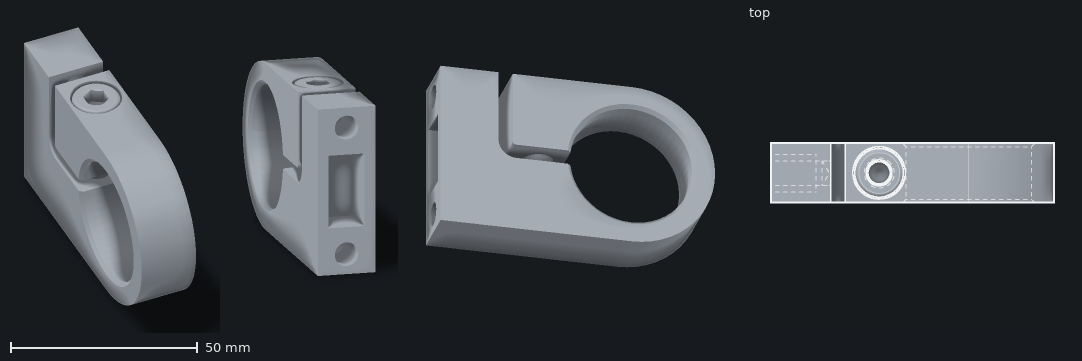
import cadquery as cq
import math

length = 75.85
depth = 16.0
height = 46.0
end_radius = height / 2
bore_x = length - end_radius
top_z = height / 2
front_y = -depth / 2

bore_radius = 16.85
bore_chamfer = 1.0

slot_x = 16.0
slot_width = 3.95
inner_corner_radius = 1.0
outer_corner_radius = inner_corner_radius + slot_width

pocket_width = 10.0
pocket_height = 20.0
pocket_depth = 12.0
mount_hole_diameter = 6.5
mount_hole_spacing = 35.0
mount_hole_depth = 13.65
drill_point_angle = 118.0

screw_x = 29.0
shank_diameter = 8.05
shank_end_z = -13.35
head_diameter = 13.05
head_height = 8.0
head_fillet = 1.05
counterbore_diameter = 14.0
head_seat_z = top_z - head_height
hex_across_flats = 6.0
hex_across_corners = hex_across_flats / math.cos(math.radians(30))
socket_depth = 4.0


def cylinder(diameter, start, end):
    """Solid cylinder between two points."""
    axis = cq.Vector(*end) - cq.Vector(*start)
    return cq.Workplane(cq.Solid.makeCylinder(diameter / 2, axis.Length, cq.Vector(*start), axis))


def cone(diameter, point_angle, base, direction):
    """Solid cone tapering from its base to a sharp point."""
    tip_length = diameter / 2 / math.tan(math.radians(point_angle / 2))
    return cq.Workplane(
        cq.Solid.makeCone(diameter / 2, 0, tip_length, cq.Vector(*base), cq.Vector(*direction))
    )


def make_block():
    """Rectangular block with a half-round end around the bore."""
    return (
        cq.Workplane("XZ", origin=(0, depth / 2, 0))
        .moveTo(0, -top_z)
        .lineTo(bore_x, -top_z)
        .threePointArc((length, 0), (bore_x, top_z))
        .lineTo(0, top_z)
        .close()
        .extrude(depth)
    )


def make_slot():
    """L-shaped slot from the top face down and across into the bore."""
    half_width = slot_width / 2
    arm_x = slot_x + slot_width
    arm_corner_z = half_width + inner_corner_radius
    return (
        cq.Workplane("XZ", origin=(0, depth / 2, 0))
        .moveTo(slot_x, top_z)
        .lineTo(slot_x, outer_corner_radius - half_width)
        .radiusArc((slot_x + outer_corner_radius, -half_width), -outer_corner_radius)
        .lineTo(bore_x, -half_width)
        .lineTo(bore_x, half_width)
        .lineTo(arm_x + inner_corner_radius, half_width)
        .radiusArc((arm_x, arm_corner_z), inner_corner_radius)
        .lineTo(arm_x, top_z)
        .close()
        .extrude(depth)
    )


def make_bore():
    """Bore cutter that flares into a chamfer at both faces."""
    flare_radius = bore_radius + bore_chamfer
    return (
        cq.Workplane("XY", origin=(bore_x, 0, 0))
        .moveTo(0, front_y)
        .lineTo(flare_radius, front_y)
        .lineTo(bore_radius, front_y + bore_chamfer)
        .lineTo(bore_radius, -front_y - bore_chamfer)
        .lineTo(flare_radius, -front_y)
        .lineTo(0, -front_y)
        .close()
        .revolve(360, (0, 0, 0), (0, 1, 0))
    )


def make_mounting_cuts():
    """Rectangular pocket, upper hole into the slot and lower drilled hole."""
    hole_z = mount_hole_spacing / 2
    pocket = cq.Workplane("XY").box(
        pocket_depth, pocket_width, pocket_height, centered=(False, True, True)
    )
    upper_hole = cylinder(mount_hole_diameter, (0, 0, hole_z), (slot_x, 0, hole_z))
    lower_end = (mount_hole_depth, 0, -hole_z)
    lower_hole = cylinder(mount_hole_diameter, (0, 0, -hole_z), lower_end)
    lower_tip = cone(mount_hole_diameter, drill_point_angle, lower_end, (1, 0, 0))
    return [pocket, upper_hole, lower_hole, lower_tip]


def make_screw_hole_cuts():
    """Counterbore for the head and a blind hole matching the shank."""
    counterbore = cylinder(counterbore_diameter, (screw_x, 0, head_seat_z), (screw_x, 0, top_z))
    shank_hole = cylinder(shank_diameter, (screw_x, 0, shank_end_z), (screw_x, 0, head_seat_z))
    return [counterbore, shank_hole]


def make_clamp():
    body = make_block().cut(make_slot()).cut(make_bore())
    for cutter in make_mounting_cuts() + make_screw_hole_cuts():
        body = body.cut(cutter)
    return body.solids()


def make_screw():
    """Socket head screw, flush with the top face, with a countersunk hexagon socket ending in a cone."""
    head = cylinder(head_diameter, (screw_x, 0, head_seat_z), (screw_x, 0, top_z))
    head = head.faces(">Z").edges().fillet(head_fillet)
    shank = cylinder(shank_diameter, (screw_x, 0, shank_end_z), (screw_x, 0, head_seat_z))
    socket_floor_z = top_z - socket_depth
    socket = (
        cq.Workplane("XY", origin=(screw_x, 0, socket_floor_z))
        .polygon(6, hex_across_corners)
        .extrude(socket_depth)
    )
    socket_tip = cone(hex_across_flats, drill_point_angle, (screw_x, 0, socket_floor_z), (0, 0, -1))
    countersink = cone(hex_across_corners, drill_point_angle, (screw_x, 0, top_z), (0, 0, -1))
    return head.union(shank).cut(socket).cut(socket_tip).cut(countersink).solids()


clamp = make_clamp()
screw = make_screw()

result = cq.Compound.makeCompound([clamp.val(), screw.val()])